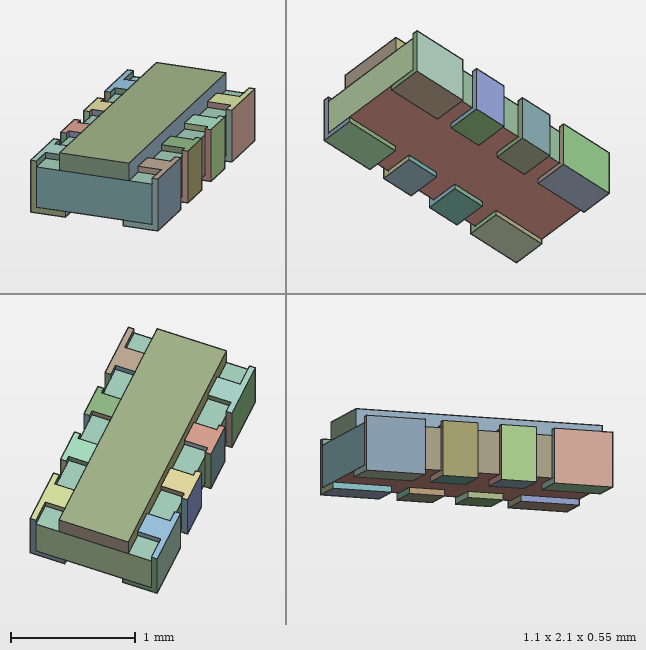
import cadquery as cq

length = 2.1
width = 1.1
height = 0.55

metal = 0.05
foot_reach = 0.3
terminal_pitch = 0.5
tab_length = 0.2
inner_length = 0.3
end_length = 0.5

base_width = width - 2 * metal
base_top = 0.4
cover_width = 0.6
terminal_top = base_top + metal
tab_reach = (width - cover_width) / 2


def block(x_min, x_max, y_min, y_max, z_min, z_max):
    """Box given by its limits along each axis."""
    size = (x_max - x_min, y_max - y_min, z_max - z_min)
    return cq.Workplane("XY").box(*size, centered=False).translate((x_min, y_min, z_min))


def make_base():
    """Ceramic block held between the terminals."""
    return block(-base_width / 2, base_width / 2, -length / 2, length / 2, metal, base_top)


def make_cover():
    """Raised strip along the middle of the base."""
    return block(-cover_width / 2, cover_width / 2, -length / 2, length / 2, base_top, height)


def make_terminal(wall_y_min, wall_y_max, tab_y):
    """Terminal on the -X side: side wall, foot under the base and narrow tab on top."""
    outer_x = -width / 2
    wall = block(outer_x, outer_x + metal, wall_y_min, wall_y_max, 0, terminal_top)
    foot = block(outer_x, outer_x + foot_reach, wall_y_min, wall_y_max, 0, metal)
    tab = block(outer_x, outer_x + tab_reach, tab_y - tab_length / 2, tab_y + tab_length / 2,
                base_top, terminal_top)
    return wall.union(foot).union(tab)


base = make_base()
cover = make_cover()

inner_tab_y = terminal_pitch / 2
end_tab_y = inner_tab_y + terminal_pitch
inner_terminal = make_terminal(inner_tab_y - inner_length / 2, inner_tab_y + inner_length / 2, inner_tab_y)
end_terminal = make_terminal(length / 2 - end_length, length / 2, end_tab_y)

terminals = []
for terminal in (inner_terminal, end_terminal):
    for one_side in (terminal, terminal.mirror("XZ")):
        terminals.append(one_side.val())
        terminals.append(one_side.mirror("YZ").val())

result = cq.Compound.makeCompound([base.val(), cover.val(), *terminals])